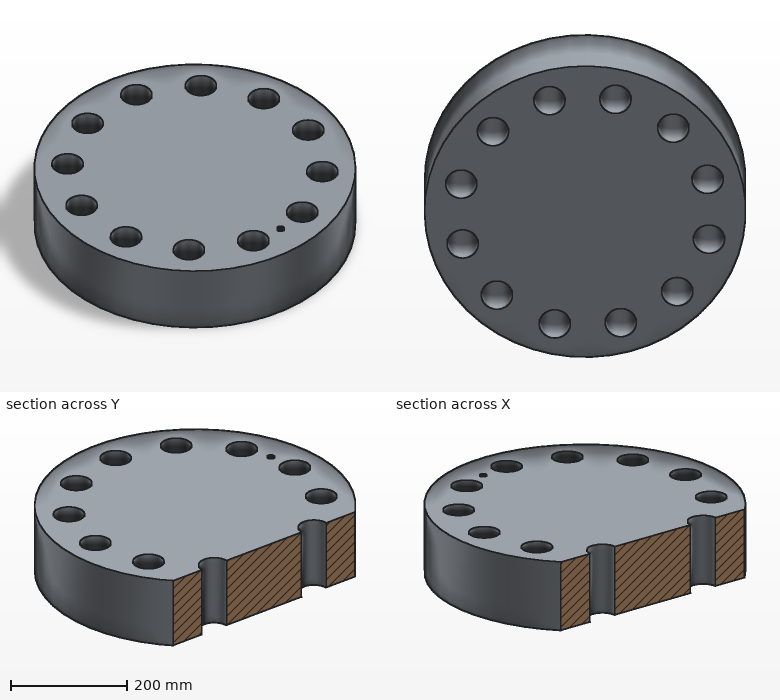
import cadquery as cq
import math

disc_diameter = 552.5
disc_thickness = 127.0

bolt_circle_radius = 219.0
bolt_hole_diameter = 53.5
bolt_count = 12
bolt_pitch_angle = 360.0 / bolt_count

stepped_hole_angle = bolt_pitch_angle / 2
step_diameters = (12.5, 10.0, 5.5, 3.5)
step_depth = 1.5


def flange_disc():
    return cq.Workplane("XY").circle(disc_diameter / 2).extrude(disc_thickness)


def bolt_holes():
    return (
        cq.Workplane("XY")
        .polarArray(bolt_circle_radius, 0, 360, bolt_count)
        .circle(bolt_hole_diameter / 2)
        .extrude(disc_thickness)
    )


def cut_stepped_hole(body):
    """Cut concentric bores from the top face, each narrower one reaching one step deeper."""
    angle = math.radians(stepped_hole_angle)
    center_x = bolt_circle_radius * math.cos(angle)
    center_y = bolt_circle_radius * math.sin(angle)
    for step_number, diameter in enumerate(step_diameters, start=1):
        bore = (
            cq.Workplane("XY", origin=(center_x, center_y, disc_thickness))
            .circle(diameter / 2)
            .extrude(-step_number * step_depth)
        )
        body = body.cut(bore)
    return body


result = cut_stepped_hole(flange_disc().cut(bolt_holes()))